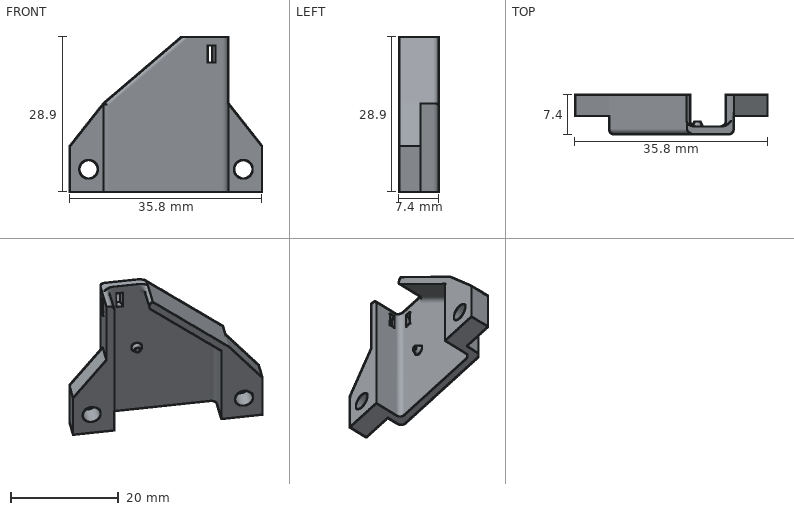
import cadquery as cq
import math

WIDTH = 35.8
DEPTH = 7.4
HEIGHT = 28.9

HOOD_HALF_WIDTH = 11.6
SHOULDER_Z = 16.55
SLOPE_TOP_X = 2.9
WALL = 1.5
EDGE_RADIUS = 1.0

EAR_THICKNESS = 4.0
EAR_TIP_Z = 8.55
EAR_HOLE_DIAMETER = 3.4
EAR_HOLE_EDGE_DISTANCE = 3.5
EAR_HOLE_Z = 4.25

TIE_INNER_RADIUS = 1.7
TIE_OUTER_RADIUS = 2.83
TIE_CENTRE_INSET = 1.32
TIE_BOTTOM_Z = 24.13
TIE_TOP_Z = 27.25

PIN_X = 4.85
PIN_Z = 14.32
PIN_BASE_RADIUS = 1.0
PIN_TIP_RADIUS = 0.55
PIN_HEIGHT = 0.93

slope_angle = math.atan2(HEIGHT - SHOULDER_Z, SLOPE_TOP_X + HOOD_HALF_WIDTH)


def slab(outline, y_start, y_end):
    """Extrude a closed outline of (x, z) points from y_start to y_end."""
    plane = cq.Workplane("XZ", origin=(0, y_start, 0))
    return plane.polyline(outline).close().extrude(y_start - y_end)


def slope_x(z, inset):
    """X on the sloping face, moved into the hood by inset, at height z."""
    outer_x = SLOPE_TOP_X - (HEIGHT - z) / math.tan(slope_angle)
    return outer_x + inset / math.sin(slope_angle)


def hood_block():
    outline = [
        (-HOOD_HALF_WIDTH, 0),
        (HOOD_HALF_WIDTH, 0),
        (HOOD_HALF_WIDTH, HEIGHT),
        (SLOPE_TOP_X, HEIGHT),
        (-HOOD_HALF_WIDTH, SHOULDER_Z),
    ]
    front_edges = cq.selectors.BoxSelector(
        (-WIDTH, -0.35, 0.35), (WIDTH, 0.35, HEIGHT - 0.35)
    )
    return slab(outline, 0, DEPTH).edges(front_edges).fillet(EDGE_RADIUS)


def mouth_flare(wall_angle, corner_x):
    """Material removed to round the inner top edge of one wall.

    wall_angle is the XZ direction from the wall into the cavity, and corner_x
    is where the inner face of the wall meets the top plane.
    """
    normal_x = math.cos(wall_angle)
    normal_z = math.sin(wall_angle)
    centre_z = HEIGHT - EDGE_RADIUS
    centre_x = corner_x + (EDGE_RADIUS * normal_z - EDGE_RADIUS) / normal_x
    tangent = (centre_x + EDGE_RADIUS * normal_x, centre_z + EDGE_RADIUS * normal_z)
    to_corner = math.atan2(HEIGHT - centre_z, corner_x - centre_x)
    middle = (
        centre_x + EDGE_RADIUS * math.cos(to_corner),
        centre_z + EDGE_RADIUS * math.sin(to_corner),
    )
    return (
        cq.Workplane("XZ", origin=(0, WALL, 0))
        .moveTo(*tangent)
        .lineTo(corner_x, HEIGHT)
        .lineTo(centre_x, HEIGHT)
        .threePointArc(middle, tangent)
        .close()
        .extrude(WALL - DEPTH)
    )


def cavity():
    inner_half_width = HOOD_HALF_WIDTH - WALL
    slope_end_x = slope_x(HEIGHT, WALL)
    shoulder_drop = (slope_x(SHOULDER_Z, WALL) + inner_half_width) * math.tan(slope_angle)
    outline = [
        (-inner_half_width, 0),
        (inner_half_width, 0),
        (inner_half_width, HEIGHT),
        (slope_end_x, HEIGHT),
        (-inner_half_width, SHOULDER_Z - shoulder_drop),
    ]
    flared = (
        slab(outline, WALL, DEPTH)
        .union(mouth_flare(math.pi, inner_half_width))
        .union(mouth_flare(slope_angle - math.pi / 2, slope_end_x))
    )
    floor_edges = cq.selectors.BoxSelector(
        (-WIDTH, WALL - 0.35, 0.35), (WIDTH, WALL + 0.35, HEIGHT - 0.05)
    )
    return flared.edges(floor_edges).fillet(EDGE_RADIUS)


def ear(side):
    """Drilled ear on one side of the hood: side is -1 (left) or 1 (right)."""
    root_x = side * (HOOD_HALF_WIDTH - WALL / 2)
    face_x = side * HOOD_HALF_WIDTH
    tip_x = side * WIDTH / 2
    outline = [
        (root_x, 0),
        (tip_x, 0),
        (tip_x, EAR_TIP_Z),
        (face_x, SHOULDER_Z),
        (root_x, SHOULDER_Z - WALL),
    ]
    hole = (
        cq.Workplane("XZ")
        .center(side * (WIDTH / 2 - EAR_HOLE_EDGE_DISTANCE), EAR_HOLE_Z)
        .circle(EAR_HOLE_DIAMETER / 2)
        .extrude(-DEPTH)
    )
    return slab(outline, DEPTH - EAR_THICKNESS, DEPTH).cut(hole)


def tie_channel():
    centre_x = HOOD_HALF_WIDTH - TIE_CENTRE_INSET
    return (
        cq.Workplane("XY", origin=(centre_x, TIE_CENTRE_INSET, TIE_BOTTOM_Z))
        .circle(TIE_OUTER_RADIUS)
        .circle(TIE_INNER_RADIUS)
        .extrude(TIE_TOP_Z - TIE_BOTTOM_Z)
    )


def pin():
    base = cq.Vector(PIN_X, WALL, PIN_Z)
    root = (
        cq.Workplane("XZ", origin=(PIN_X, WALL / 2, PIN_Z))
        .circle(PIN_BASE_RADIUS)
        .extrude(-WALL / 2)
    )
    taper = cq.Solid.makeCone(
        PIN_BASE_RADIUS, PIN_TIP_RADIUS, PIN_HEIGHT, base, cq.Vector(0, 1, 0)
    )
    return root.union(cq.Workplane(taper))


result = hood_block().cut(cavity()).cut(tie_channel())
for ear_side in (-1, 1):
    result = result.union(ear(ear_side))
result = result.union(pin())